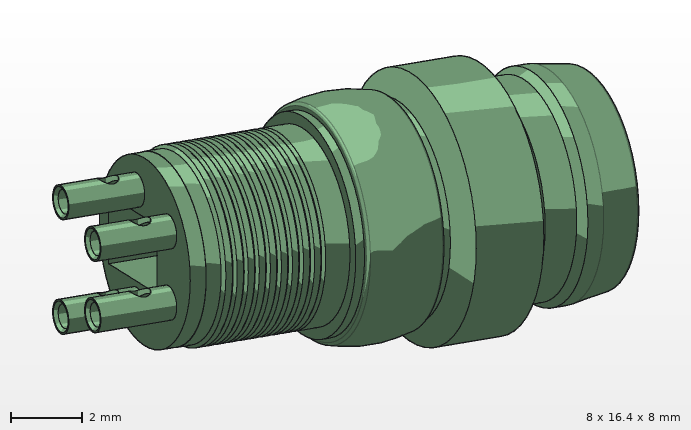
import math

import cadquery as cq

OVERALL_LENGTH = 16.4

BODY_DIAMETER = 6.5
COLLAR_DIAMETER = 6.9
NOSE_FILLET = 0.1
NOSE_TAPER_END = 1.25
COLLAR_END = 1.75
COLLAR_CHAMFER_LENGTH = 0.25

GRIP_DIAMETER = 8.0
GRIP_START = 3.0
GRIP_END = 6.0
GRIP_CHAMFER_LENGTH = 0.43

BARREL_START = 6.28
BARREL_END = 8.72
BARREL_FILLET = 0.1
BARREL_MAX_DIAMETER = 7.26
BODY_END = 9.0

THREAD_DIAMETER = 5.8
THREAD_ROOT_DIAMETER = 5.6
THREAD_START = 9.77
THREAD_END = 13.03
THREAD_PITCH = 0.35
GROOVE_COUNT = 9
GROOVE_WIDTH = 0.15
THREAD_END_CHAMFER = 0.1

STEM_END = 13.5
INSULATOR_DIAMETER = 5.58
INSULATOR_END = 14.0
POCKET_WIDTH = 2.97
POCKET_HEIGHT = 2.04
POCKET_CENTER_X = -0.72
POCKET_DEPTH = 4.0

PIN_DIAMETER = 1.0
UPPER_PIN_POSITIONS = ((-0.502, 1.703), (1.458, 1.06))
CUP_DIAMETER = 0.7
CUP_DEPTH = 2.0
CUP_TIP_ANGLE = 118.0
CUP_RIM_CHAMFER = 0.1
CROSS_HOLE_DIAMETER = 0.6
CROSS_HOLE_STATION = 14.9


def y_at(station):
    """Y coordinate of a distance measured from the mating end face."""
    return OVERALL_LENGTH - station


def revolve_profile(profile):
    """Close an outline of radius against Y onto the axis and spin it about Y."""
    return profile.close().revolve(360, (0, 0, 0), (0, 1, 0))


def make_sleeve():
    """Mating sleeve and grip ring as one revolved outline with a rounded nose."""
    body_radius = BODY_DIAMETER / 2
    collar_radius = COLLAR_DIAMETER / 2
    grip_radius = GRIP_DIAMETER / 2
    profile = (
        cq.Workplane("XY")
        .moveTo(0, y_at(0))
        .lineTo(body_radius, y_at(0))
        .lineTo(collar_radius, y_at(NOSE_TAPER_END))
        .lineTo(collar_radius, y_at(COLLAR_END))
        .lineTo(body_radius, y_at(COLLAR_END + COLLAR_CHAMFER_LENGTH))
        .lineTo(body_radius, y_at(GRIP_START))
        .lineTo(grip_radius, y_at(GRIP_START + GRIP_CHAMFER_LENGTH))
        .lineTo(grip_radius, y_at(GRIP_END - GRIP_CHAMFER_LENGTH))
        .lineTo(body_radius, y_at(GRIP_END))
        .lineTo(body_radius, y_at(BODY_END))
        .lineTo(0, y_at(BODY_END))
    )
    return revolve_profile(profile).faces(">Y").edges().fillet(NOSE_FILLET)


def make_barrel_ring():
    """Ring with a bulging side and rounded end edges."""
    edge_radius = COLLAR_DIAMETER / 2
    barrel_middle = (BARREL_START + BARREL_END) / 2
    profile = (
        cq.Workplane("XY")
        .moveTo(0, y_at(BARREL_START))
        .lineTo(edge_radius, y_at(BARREL_START))
        .threePointArc(
            (BARREL_MAX_DIAMETER / 2, y_at(barrel_middle)),
            (edge_radius, y_at(BARREL_END)),
        )
        .lineTo(0, y_at(BARREL_END))
    )
    return revolve_profile(profile).faces("|Y").edges().fillet(BARREL_FILLET)


def make_stem():
    """Grooved stem with its plain end and the insulator."""
    crest_radius = THREAD_DIAMETER / 2
    root_radius = THREAD_ROOT_DIAMETER / 2
    insulator_radius = INSULATOR_DIAMETER / 2
    profile = cq.Workplane("XY").moveTo(0, y_at(BODY_END)).lineTo(crest_radius, y_at(BODY_END))
    for index in range(GROOVE_COUNT):
        groove_start = THREAD_START + index * THREAD_PITCH
        profile = (
            profile.lineTo(crest_radius, y_at(groove_start))
            .lineTo(root_radius, y_at(groove_start + GROOVE_WIDTH / 2))
            .lineTo(crest_radius, y_at(groove_start + GROOVE_WIDTH))
        )
    profile = (
        profile.lineTo(crest_radius, y_at(THREAD_END - THREAD_END_CHAMFER))
        .lineTo(root_radius, y_at(THREAD_END))
        .lineTo(root_radius, y_at(STEM_END))
        .lineTo(insulator_radius, y_at(STEM_END))
        .lineTo(insulator_radius, y_at(INSULATOR_END))
        .lineTo(0, y_at(INSULATOR_END))
    )
    return revolve_profile(profile)


def make_pocket():
    """Rectangular blind recess in the insulator face."""
    return cq.Workplane("XY").box(
        POCKET_WIDTH, POCKET_DEPTH, POCKET_HEIGHT, centered=(True, False, True)
    ).translate((POCKET_CENTER_X, y_at(INSULATOR_END), 0))


def make_pin(x, z):
    """Solder cup pin with a cone-bottomed bore and a side hole opening upward."""
    pin = (
        cq.Workplane("XZ", origin=(x, y_at(INSULATOR_END), z))
        .circle(PIN_DIAMETER / 2)
        .extrude(OVERALL_LENGTH - INSULATOR_END)
    )
    cup_radius = CUP_DIAMETER / 2
    tip_length = cup_radius / math.tan(math.radians(CUP_TIP_ANGLE / 2))
    cup_profile = (
        cq.Workplane("XY")
        .lineTo(cup_radius + CUP_RIM_CHAMFER, 0)
        .lineTo(cup_radius, CUP_RIM_CHAMFER)
        .lineTo(cup_radius, CUP_DEPTH)
        .lineTo(0, CUP_DEPTH + tip_length)
    )
    cup = revolve_profile(cup_profile).translate((x, 0, z))
    cross_hole = (
        cq.Workplane("XY", origin=(x, y_at(CROSS_HOLE_STATION), z))
        .circle(CROSS_HOLE_DIAMETER / 2)
        .extrude(PIN_DIAMETER)
    )
    return pin.cut(cup).cut(cross_hole)


result = make_sleeve().union(make_barrel_ring()).union(make_stem()).cut(make_pocket())
for pin_x, pin_z in UPPER_PIN_POSITIONS:
    for side in (1, -1):
        result = result.union(make_pin(pin_x, side * pin_z))